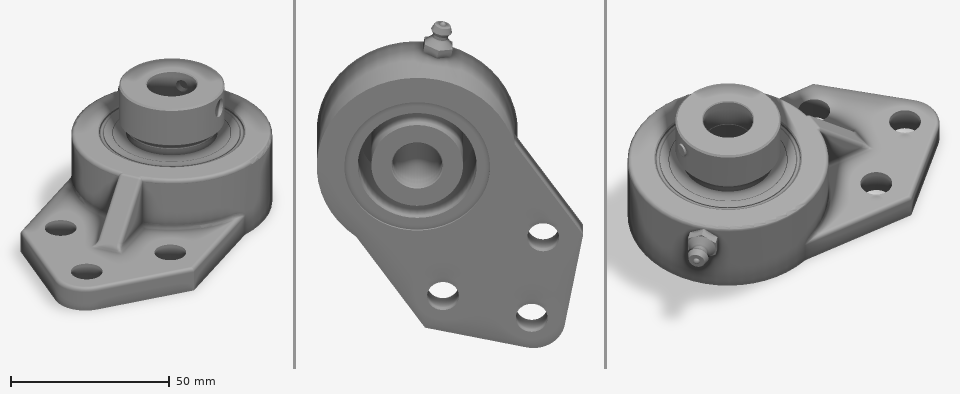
import cadquery as cq
import math

BOSS_RADIUS = 31.8
BOSS_HEIGHT = 25.4
FLANGE_THICKNESS = 8.0
FLANGE_HALF_WIDTH = 30.0
FLANGE_CORNER_Y = -49.5
FLANGE_TIP_Y = -76.2
TIP_RADIUS = 10.0
CAST_FILLET = 1.3
BOLT_HOLE_DIAMETER = 10.0
BOLT_HOLES = [(-19.0, -43.2), (19.0, -43.2), (0, -65.2)]
RIB_WIDTH = 8.1
RIB_TOP_Y = -BOSS_RADIUS
RIB_FOOT_Y = -49.9
SEAT_DIAMETER = 46.0
SEAT_MOUTH_DIAMETER = 46.8

EDGE_MARGIN = 0.1
AT_FLANGE_TOP = (FLANGE_THICKNESS - EDGE_MARGIN, FLANGE_THICKNESS + EDGE_MARGIN)

RING_SETBACK = 0.6
RING_TOP = BOSS_HEIGHT - RING_SETBACK
OUTER_RING_CHAMFER = 0.4
OUTER_RING_BORE = 37.6
SEAL_DIAMETER = 43.0
SEAL_THICKNESS = 1.1
SLINGER_DIAMETER = 37.3
INNER_RING_DIAMETER = 28.9
SHOULDER_TOP = 27.0
STUB_DIAMETER = 28.0
STUB_TOP = 32.6
SHAFT_DIAMETER = 15.9
BORE_CHAMFER = 0.3

COLLAR_DIAMETER = 33.3
COLLAR_BOTTOM = 29.0
COLLAR_TOP = 42.5
COLLAR_CHAMFER = 0.5
SCREW_DIAMETER = 4.1
SCREW_Z = 37.6
SCREW_INNER_Y = 10.3
SCREW_OUTER_Y = 17.3
DRIFT_HOLE_DIAMETER = 6.0
DRIFT_HOLE_DEPTH = 3.2

NIPPLE_Z = 19.2
NIPPLE_ANGLE = 135
HEX_ACROSS_FLATS = 9.0
HEX_TURN = 30
HEX_LENGTH = 2.8
SHANK_DIAMETER = 6.0
SHANK_LENGTH = 4.3
CONE_END = 4.4
NECK_START = 5.1
NECK_END = 6.2
NECK_DIAMETER = 5.0
HEAD_CREST = 7.5
HEAD_DIAMETER = 6.7
HEAD_END = 9.4
HEAD_END_DIAMETER = 5.2
BALL_DIAMETER = 2.0


def disc(diameter, bottom, top):
    """Solid cylinder on the bearing axis."""
    return cq.Workplane("XY").workplane(offset=bottom).circle(diameter / 2).extrude(top - bottom)


def nipple_frame():
    """Plane touching the boss, with its normal along the grease nipple."""
    angle = math.radians(NIPPLE_ANGLE)
    outward = (math.cos(angle), math.sin(angle), 0)
    origin = (BOSS_RADIUS * outward[0], BOSS_RADIUS * outward[1], NIPPLE_Z)
    return cq.Plane(origin=origin, xDir=(0, 0, 1), normal=outward)


def edges_in_box(x_limit, y_range, z_range):
    """Selector for edges whose centres lie in a box that is symmetric about X = 0."""
    return cq.selectors.BoxSelector((-x_limit, y_range[0], z_range[0]), (x_limit, y_range[1], z_range[1]))


def make_flange():
    """Mounting plate that tapers to a round tip, with a rounded top rim."""
    tip_centre_y = FLANGE_TIP_Y + TIP_RADIUS
    corner_rise = FLANGE_CORNER_Y - tip_centre_y
    corner_distance = math.hypot(FLANGE_HALF_WIDTH, corner_rise)
    tangent_angle = math.atan2(corner_rise, FLANGE_HALF_WIDTH) - math.acos(TIP_RADIUS / corner_distance)
    tangent_x = TIP_RADIUS * math.cos(tangent_angle)
    tangent_y = tip_centre_y + TIP_RADIUS * math.sin(tangent_angle)
    flange = (
        cq.Workplane("XY")
        .moveTo(-FLANGE_HALF_WIDTH, 0)
        .lineTo(-FLANGE_HALF_WIDTH, FLANGE_CORNER_Y)
        .lineTo(-tangent_x, tangent_y)
        .threePointArc((0, FLANGE_TIP_Y), (tangent_x, tangent_y))
        .lineTo(FLANGE_HALF_WIDTH, FLANGE_CORNER_Y)
        .lineTo(FLANGE_HALF_WIDTH, 0)
        .close()
        .extrude(FLANGE_THICKNESS)
    )
    rim = edges_in_box(FLANGE_HALF_WIDTH + EDGE_MARGIN, (FLANGE_TIP_Y, -EDGE_MARGIN), AT_FLANGE_TOP)
    return flange.faces(">Z").edges(rim).fillet(CAST_FILLET)


def add_rib(flange):
    """Sloping rib on the flange, with a concave fillet at its foot and a rounded ridge."""
    rib = (
        cq.Workplane("YZ")
        .moveTo(0, 0)
        .lineTo(RIB_FOOT_Y, 0)
        .lineTo(RIB_FOOT_Y, FLANGE_THICKNESS)
        .lineTo(RIB_TOP_Y, BOSS_HEIGHT)
        .lineTo(0, BOSS_HEIGHT)
        .close()
        .extrude(RIB_WIDTH / 2, both=True)
    )
    foot = edges_in_box(RIB_WIDTH, (RIB_FOOT_Y - EDGE_MARGIN, -EDGE_MARGIN), AT_FLANGE_TOP)
    ridge_heights = (FLANGE_THICKNESS + 2 * CAST_FILLET, BOSS_HEIGHT + EDGE_MARGIN)
    ridge = edges_in_box(RIB_WIDTH, (RIB_FOOT_Y, -EDGE_MARGIN), ridge_heights)
    return flange.union(rib).edges(foot).fillet(CAST_FILLET).edges(ridge).fillet(CAST_FILLET)


def make_housing():
    """Round boss on a flange, braced by a rib and bored for the bearing."""
    boss = disc(2 * BOSS_RADIUS, 0, BOSS_HEIGHT).faces(">Z").edges().fillet(CAST_FILLET)
    flange = make_flange()

    boss_foot = edges_in_box(BOSS_RADIUS / 2, (-BOSS_RADIUS - EDGE_MARGIN, -EDGE_MARGIN), AT_FLANGE_TOP)
    body = boss.union(flange).edges(boss_foot).fillet(CAST_FILLET)
    body = body.union(add_rib(flange))

    bolt_holes = (
        cq.Workplane("XY")
        .pushPoints(BOLT_HOLES)
        .circle(BOLT_HOLE_DIAMETER / 2)
        .extrude(FLANGE_THICKNESS)
    )
    shank_hole = cq.Workplane(nipple_frame()).circle(SHANK_DIAMETER / 2).extrude(-SHANK_LENGTH)
    body = body.cut(bolt_holes).cut(shank_hole)

    body = body.cut(disc(SEAT_DIAMETER, 0, BOSS_HEIGHT))
    mouth = body.faces(">Z").edges(cq.selectors.RadiusNthSelector(0))
    return mouth.chamfer((SEAT_MOUTH_DIAMETER - SEAT_DIAMETER) / 2)


def make_outer_ring():
    """Outer ring with a recess for the seal in its top face."""
    ring = disc(SEAT_DIAMETER, RING_SETBACK, RING_TOP)
    ring = ring.cut(disc(SEAL_DIAMETER, RING_TOP - SEAL_THICKNESS, RING_TOP))
    ring = ring.faces(">Z").edges().chamfer(OUTER_RING_CHAMFER)
    return ring.cut(disc(OUTER_RING_BORE, RING_SETBACK, RING_TOP))


def make_seal():
    """Flat washer in the recess of the outer ring."""
    seal = disc(SEAL_DIAMETER, RING_TOP - SEAL_THICKNESS, RING_TOP)
    return seal.cut(disc(OUTER_RING_BORE, 0, BOSS_HEIGHT))


def make_slinger():
    """Flat washer around the inner ring, inside the seal."""
    slinger = disc(SLINGER_DIAMETER, RING_TOP - SEAL_THICKNESS, RING_TOP)
    return slinger.cut(disc(INNER_RING_DIAMETER, 0, BOSS_HEIGHT))


def make_inner_ring():
    """Inner ring with a narrower stub that enters the collar."""
    shoulder = disc(INNER_RING_DIAMETER, RING_SETBACK, SHOULDER_TOP)
    ring = shoulder.union(disc(STUB_DIAMETER, SHOULDER_TOP, STUB_TOP))
    ring = ring.cut(disc(SHAFT_DIAMETER, 0, STUB_TOP))
    bore_edges = ring.faces("<Z or >Z").edges("%CIRCLE").edges(cq.selectors.RadiusNthSelector(0))
    return bore_edges.chamfer(BORE_CHAMFER)


def make_collar():
    """Locking collar with a stub recess, a set screw hole and a blind drift hole."""
    collar = disc(COLLAR_DIAMETER, COLLAR_BOTTOM, COLLAR_TOP)
    collar = collar.faces("<Z or >Z").edges().chamfer(COLLAR_CHAMFER)
    collar = collar.cut(disc(SHAFT_DIAMETER, COLLAR_BOTTOM, COLLAR_TOP))
    collar = collar.faces(">Z").edges(cq.selectors.RadiusNthSelector(0)).chamfer(BORE_CHAMFER)
    collar = collar.cut(disc(STUB_DIAMETER, COLLAR_BOTTOM, STUB_TOP))
    screw_hole = (
        cq.Workplane("XZ", origin=(0, 0, SCREW_Z))
        .circle(SCREW_DIAMETER / 2)
        .extrude(-COLLAR_DIAMETER)
    )
    drift_hole = (
        cq.Workplane("YZ", origin=(COLLAR_DIAMETER / 2, 0, SCREW_Z))
        .circle(DRIFT_HOLE_DIAMETER / 2)
        .extrude(-DRIFT_HOLE_DEPTH)
    )
    return collar.cut(screw_hole).cut(drift_hole)


def make_set_screw():
    """Plain screw in the +Y side of the collar, standing slightly proud of it."""
    return (
        cq.Workplane("XZ", origin=(0, SCREW_INNER_Y, SCREW_Z))
        .circle(SCREW_DIAMETER / 2)
        .extrude(SCREW_INNER_Y - SCREW_OUTER_Y)
    )


def make_nipple():
    """Grease nipple with a shank in the boss, a hexagon, a neck, a head and a ball tip."""
    frame = nipple_frame()
    hexagon = (
        cq.Workplane(frame)
        .transformed((0, 0, HEX_TURN))
        .polygon(6, HEX_ACROSS_FLATS, circumscribed=True)
        .extrude(HEX_LENGTH)
    )
    shank = cq.Workplane(frame).circle(SHANK_DIAMETER / 2).extrude(-SHANK_LENGTH)
    ball_radius = BALL_DIAMETER / 2
    ball_end = HEAD_END + ball_radius
    ball_mid = ball_radius * math.sqrt(0.5)
    profile = cq.Plane(origin=frame.origin, xDir=frame.xDir, normal=frame.yDir.multiply(-1))
    head = (
        cq.Workplane(profile)
        .moveTo(0, 0)
        .lineTo(HEX_ACROSS_FLATS / 2, 0)
        .lineTo(HEX_ACROSS_FLATS / 2, HEX_LENGTH)
        .lineTo(SHANK_DIAMETER / 2, CONE_END)
        .lineTo(NECK_DIAMETER / 2, NECK_START)
        .lineTo(NECK_DIAMETER / 2, NECK_END)
        .lineTo(HEAD_DIAMETER / 2, HEAD_CREST)
        .lineTo(HEAD_END_DIAMETER / 2, HEAD_END)
        .lineTo(ball_radius, HEAD_END)
        .threePointArc((ball_mid, HEAD_END + ball_mid), (0, ball_end))
        .close()
        .revolve(360, (0, 0), (0, 1))
    )
    return hexagon.union(shank).union(head)


housing = make_housing()
outer_ring = make_outer_ring()
seal = make_seal()
slinger = make_slinger()
inner_ring = make_inner_ring()
collar = make_collar()
set_screw = make_set_screw()
nipple = make_nipple()

bodies = [housing, outer_ring, seal, slinger, inner_ring, collar, set_screw, nipple]
result = cq.Compound.makeCompound([body.solids().val() for body in bodies])